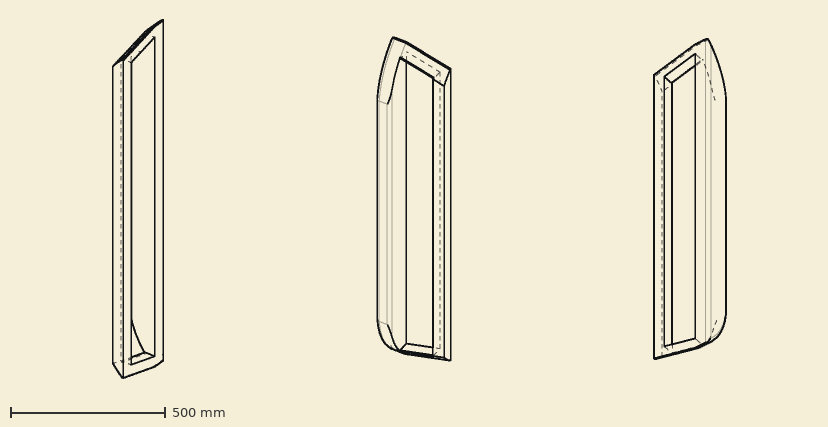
import cadquery as cq
import math

width = 104.0
depth = 221.0
half_height = 658.0

board_depth = 54.0
edge_radius = 12.0
tip_flat = 5.9
straight_half_height = 465.0
end_arc_radius = 302.0

bar_width = 43.0
bar_depth = 42.0
arm_width = 40.0
arm_height = 41.0
arm_drop = 43.0

bar_left = width - bar_width
arm_left = width - arm_width
flat_left = width - tip_flat

arc_rise = half_height - straight_half_height
arc_chord = math.hypot(flat_left, arc_rise)
centre_to_chord = math.sqrt(end_arc_radius**2 - (arc_chord / 2) ** 2)
arc_centre_x = flat_left / 2 + centre_to_chord * arc_rise / arc_chord
arc_centre_z = straight_half_height + arc_rise / 2 - centre_to_chord * flat_left / arc_chord


def arc_point(x):
    """Point at x on the upper end arc."""
    return x, arc_centre_z + math.sqrt(end_arc_radius**2 - (x - arc_centre_x) ** 2)


def mirrored(point):
    """Point at the opposite end of the grip."""
    return point[0], -point[1]


def make_board():
    """Back board: a bar with rounded long edges, shaped at both ends by arcs with a rounded back."""
    bar = (
        cq.Workplane("XY")
        .rect(width, board_depth)
        .extrude(half_height, both=True)
        .translate((width / 2, -board_depth / 2, 0))
        .edges("|Z and (<X or >Y)")
        .fillet(edge_radius)
    )
    tangent_point = (arc_centre_x - end_arc_radius, arc_centre_z)
    arc_middle = arc_point(width / 2)
    arc_end = arc_point(2 * width)
    end_shape = (
        cq.Workplane("XZ")
        .moveTo(*mirrored(tangent_point))
        .lineTo(*tangent_point)
        .threePointArc(arc_middle, arc_end)
        .lineTo(*mirrored(arc_end))
        .threePointArc(mirrored(arc_middle), mirrored(tangent_point))
        .close()
        .extrude(board_depth)
        .edges(">Y and (not >X)")
        .fillet(edge_radius)
    )
    return bar.intersect(end_shape)


def beveled_section(plane, drop):
    """Frame section with curved bevels, each end lowered by drop."""

    def lowered(x):
        point_x, point_z = arc_point(x)
        return point_x, point_z - drop

    bevel_start = lowered(bar_left)
    bevel_middle = lowered((bar_left + flat_left) / 2)
    bevel_end = lowered(flat_left)
    tip = (width, half_height - drop)
    return (
        plane.moveTo(*mirrored(bevel_start))
        .lineTo(*bevel_start)
        .threePointArc(bevel_middle, bevel_end)
        .lineTo(*tip)
        .lineTo(*mirrored(tip))
        .lineTo(*mirrored(bevel_end))
        .threePointArc(mirrored(bevel_middle), mirrored(bevel_start))
        .close()
    )


def window_section(plane, drop):
    """Rectangle below the arms, each end lowered by drop."""
    top = half_height - arm_height - drop
    return plane.center((bar_left + width) / 2, 0).rect(bar_width, 2 * top)


def tapered_prism(section):
    """Loft a section from the board front to the bar front, lowering its ends by the arm drop."""
    board_plane = cq.Workplane("XZ", origin=(0, -board_depth, 0))
    bar_plane = cq.Workplane("XZ", origin=(0, -depth, 0))
    board_wire = section(board_plane, 0).wires().val()
    bar_wire = section(bar_plane, arm_drop).wires().val()
    return cq.Workplane(cq.Solid.makeLoft([board_wire, bar_wire], True))


def make_frame():
    """Arms and front bar: a beveled, tapering prism with a window open along X."""
    arm_length = depth - board_depth - bar_depth
    behind_bar = (
        cq.Workplane("XY")
        .box(width, arm_length, 2 * half_height, centered=(False, False, True))
        .translate((0, bar_depth - depth, 0))
    )
    window = tapered_prism(window_section).intersect(behind_bar)
    left_of_arms = behind_bar.translate((arm_left - width, 0, 0))
    return tapered_prism(beveled_section).cut(window).cut(left_of_arms)


result = make_board().union(make_frame())